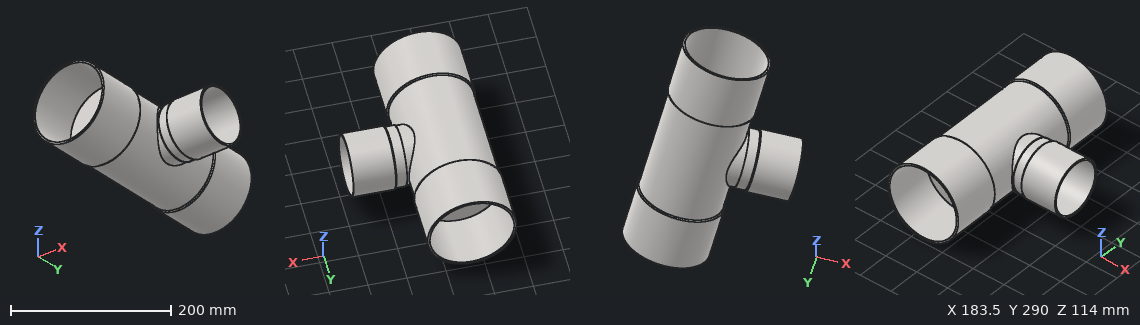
import cadquery as cq

run_length = 290.0
run_diameter = 110.0
run_socket_diameter = 114.0
run_socket_length = 71.5
run_bore_diameter = 108.0

branch_end = 126.5
neck_diameter = 76.0
collar_diameter = 78.0
collar_start = 57.5
branch_socket_diameter = 81.0
branch_socket_length = 54.0
branch_bore_diameter = 76.0

shoulder_length = 1.5

bore_setback = 1.5
run_bore_depth = run_socket_length - bore_setback
branch_bore_depth = branch_socket_length - bore_setback


def make_run():
    """Solid main pipe with a thicker, shouldered socket at each end."""
    end = run_length / 2
    socket_start = end - run_socket_length
    shoulder_start = socket_start - shoulder_length
    pipe_radius = run_diameter / 2
    socket_radius = run_socket_diameter / 2
    profile = [
        (0, -end),
        (socket_radius, -end),
        (socket_radius, -socket_start),
        (pipe_radius, -shoulder_start),
        (pipe_radius, shoulder_start),
        (socket_radius, socket_start),
        (socket_radius, end),
        (0, end),
    ]
    return cq.Workplane("XY").polyline(profile).close().revolve(360, (0, 0, 0), (0, 1, 0))


def make_branch():
    """Solid branch stepping up from neck to collar to socket, starting on the run axis."""
    socket_start = branch_end - branch_socket_length
    shoulder_start = socket_start - shoulder_length
    neck_radius = neck_diameter / 2
    collar_radius = collar_diameter / 2
    socket_radius = branch_socket_diameter / 2
    profile = [
        (0, 0),
        (0, neck_radius),
        (collar_start, neck_radius),
        (collar_start, collar_radius),
        (shoulder_start, collar_radius),
        (socket_start, socket_radius),
        (branch_end, socket_radius),
        (branch_end, 0),
    ]
    return cq.Workplane("XY").polyline(profile).close().revolve(360, (0, 0, 0), (1, 0, 0))


def make_run_bore(side):
    """Blind socket bore in the run end on the given side of Y (-1 or +1)."""
    bore = cq.Workplane("XZ", origin=(0, side * run_length / 2, 0)).circle(run_bore_diameter / 2)
    return bore.extrude(side * run_bore_depth)


def make_branch_bore():
    """Blind socket bore in the open end of the branch."""
    bore = cq.Workplane("YZ", origin=(branch_end, 0, 0)).circle(branch_bore_diameter / 2)
    return bore.extrude(-branch_bore_depth)


result = make_run().union(make_branch())
for end_side in (-1, 1):
    result = result.cut(make_run_bore(end_side))
result = result.cut(make_branch_bore())